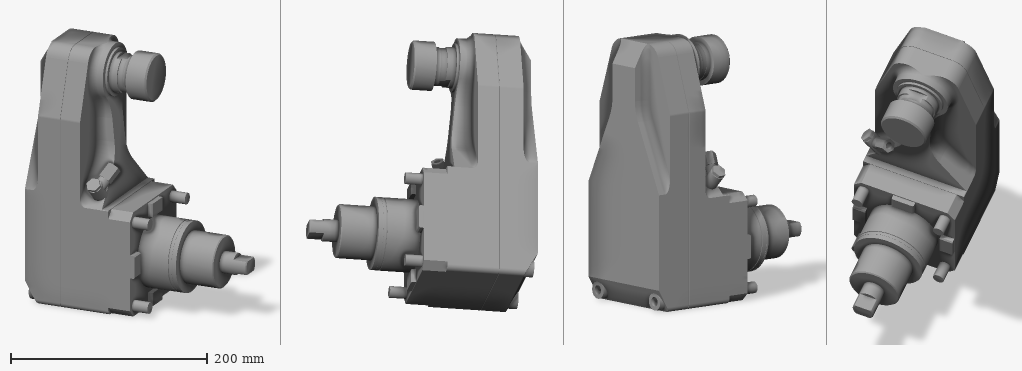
import cadquery as cq
import math


HEIGHT = 273.5
HALF_WIDTH = 55.8
SHOULDER_Z = 203.8
TOP_HALF_WIDTH = 32.5
TOP_RADIUS = 17.8
SHOULDER_RADIUS = 5.5
BOTTOM_RADIUS = 5.2
COVER_CHAMFER_X = 14.0
COVER_CHAMFER_Z = 24.0
SEAM_X = 40.0
SEAM_WIDTH = 0.8
SEAM_DEPTH = 0.5

LAND_HALF_WIDTH = 17.8
LAND_BEND_Z = 215.0
LAND_BEND_RADIUS = 49.2
LAND_FLARE_ANGLE = 25.1
RECESS_DEPTH = 14.8
RECESS_FILLET = 6.3

SPINDLE_Z = 243.1
BOSS_RADIUS = HEIGHT - SPINDLE_Z
BOSS_FACE_X = 75.8
NECK_WALL_X = 62.0
NECK_FILLET = 5.7
NECK_HALF_WIDTH = 12.5
NECK_RADIUS = 39.0
NECK_FLARE_Z = 171.8
FLARE_ANGLE = 45.0
BOSS_FACE_BOTTOM_Z = 221.5
SHELF_X = 86.5
SHELF_Z = 113.0

FLANGE_X = 93.8
FLANGE_END_X = 118.2
FLANGE_HEIGHT = 112.5
FLANGE_CHAMFER = 8.2

SHAFT_Z = 55.8
PILOT_RADIUS = 37.5
PILOT_END_X = 161.5
SEAL_GROOVES = [(152.3, 153.5, 0.8), (156.2, 159.5, 0.3)]
SLEEVE_RADIUS = 27.5
SLEEVE_END_X = 198.3
TANG_RADIUS = 11.5
TANG_FLAT_X = 213.0
TANG_HALF_THICKNESS = 7.0
SHAFT_END_X = 228.0
SHAFT_CHAMFER = 1.0

KEY_WIDTH = 24.5
KEY_HEIGHT = 5.2
KEY_INNER_RADIUS = 41.0
KEY_REACH = 55.2
KEY_CHAMFER = 1.5

BOLT_OFFSET = 44.9
BOLT_RADIUS = 6.0
BOLT_END_X = 135.7
BOLT_HEAD_RADIUS = 9.0
BOLT_HEAD_X = 3.3
SOCKET_RADIUS = 5.0
SOCKET_DEPTH = 5.5

SPINDLE_CHAMFER = 1.6
SPINDLE_STEPS = [(78.2, 25.2), (87.2, 21.0), (93.8, 19.5), (99.0, 20.0), (121.7, 25.2)]
WRENCH_START_X = 82.0
WRENCH_END_X = 92.7
WRENCH_HALF_WIDTH = 18.0

ELBOW_X = 78.2
ELBOW_TOP_Y = -58.5
ELBOW_TOP_Z = 140.0
ELBOW_RADIUS = 7.7
ELBOW_LENGTH = 24.5
ELBOW_CAP_HEIGHT = 3.5
BRANCH_DROP = 12.5
BRANCH_TILT = 20.0
BRANCH_LENGTH = 30.4
BRANCH_NECK_LENGTH = 13.7
BRANCH_NECK_RADIUS = 6.3
BRANCH_HEX_RADIUS = 7.5
BRANCH_BORE_RADIUS = 3.5
BRANCH_BORE_DEPTH = 11.0

CLEAR = 82.0


def cylinder_x(radius, start_x, end_x, y, z):
    """Solid cylinder along X."""
    return cq.Workplane("YZ", origin=(start_x, y, z)).circle(radius).extrude(end_x - start_x)


def block(x_range, y_range, z_range):
    """Solid box between the given limits."""
    low, high = zip(x_range, y_range, z_range)
    size = [b - a for a, b in zip(low, high)]
    return cq.Workplane("XY", origin=low).box(*size, centered=False)


def flats(start_x, end_x, axis_z, half_thickness, reach):
    """Cutter for a pair of flats above and below an axis along X."""
    slab = block((start_x, end_x), (-reach, reach), (axis_z - reach, axis_z + reach))
    kept = block((start_x, end_x), (-reach, reach), (axis_z - half_thickness, axis_z + half_thickness))
    return slab.cut(kept)


def on_both_sides(solid):
    """The solid together with its mirror image across Y = 0."""
    return solid.union(solid.mirror("XZ"))


def housing_outline(start_x, end_x):
    """Tapered, rounded outline of the housing, extruded along X."""
    half = [(HALF_WIDTH, 0), (HALF_WIDTH, SHOULDER_Z), (TOP_HALF_WIDTH, HEIGHT)]
    mirrored = [(-y, z) for y, z in reversed(half)]
    solid = cq.Workplane("YZ", origin=(start_x, 0, 0)).polyline(half + mirrored).close()
    solid = solid.extrude(end_x - start_x)
    solid = solid.edges("|X and >Z").fillet(TOP_RADIUS)
    solid = solid.edges("|X and (>Y or <Y) and (not <Z)").fillet(SHOULDER_RADIUS)
    return solid.edges("|X and <Z").fillet(BOTTOM_RADIUS)


def housing():
    """Housing block trimmed to its side profile, with the seam between its halves."""
    profile = [
        (COVER_CHAMFER_X, 0),
        (FLANGE_X, 0),
        (FLANGE_X, SHELF_Z),
        (SHELF_X, SHELF_Z),
        (BOSS_FACE_X, BOSS_FACE_BOTTOM_Z),
        (BOSS_FACE_X, HEIGHT),
        (COVER_CHAMFER_X, HEIGHT),
        (0, HEIGHT - COVER_CHAMFER_Z),
        (0, COVER_CHAMFER_Z),
    ]
    trim = cq.Workplane("XZ").polyline(profile).close().extrude(HALF_WIDTH, both=True)
    body = housing_outline(0, FLANGE_X).intersect(trim)
    seam_start = SEAM_X - SEAM_WIDTH / 2
    seam_end = SEAM_X + SEAM_WIDTH / 2
    core = housing_outline(seam_start, seam_end).faces("<X").wires().toPending().offset2D(-SEAM_DEPTH)
    core = core.extrude(SEAM_WIDTH, combine=False)
    return body.cut(housing_outline(seam_start, seam_end).cut(core))


def cover_recesses():
    """Recesses that leave the flared land standing on the front cover."""
    angle = math.radians(LAND_FLARE_ANGLE)

    def bend(a):
        return (
            LAND_HALF_WIDTH + LAND_BEND_RADIUS * (1 - math.cos(a)),
            LAND_BEND_Z - LAND_BEND_RADIUS * math.sin(a),
        )

    bend_end_y, bend_end_z = bend(angle)
    flare_z = bend_end_z - (CLEAR - bend_end_y) / math.tan(angle)
    tool = (
        cq.Workplane("YZ", origin=(-CLEAR, 0, 0))
        .moveTo(LAND_HALF_WIDTH, HEIGHT + CLEAR)
        .lineTo(LAND_HALF_WIDTH, LAND_BEND_Z)
        .threePointArc(bend(angle / 2), (bend_end_y, bend_end_z))
        .lineTo(CLEAR, flare_z)
        .lineTo(CLEAR, HEIGHT + CLEAR)
        .close()
        .extrude(CLEAR + RECESS_DEPTH)
    )
    tool = tool.faces(">X").edges("not (>Y or >Z)").fillet(RECESS_FILLET)
    return on_both_sides(tool)


def neck_recesses():
    """Recesses that leave the round spindle boss, its neck and the flared foot."""
    blend_centre_y = NECK_HALF_WIDTH + NECK_RADIUS
    blend_angle = math.acos(blend_centre_y / (BOSS_RADIUS + NECK_RADIUS))
    blend_centre_z = SPINDLE_Z - (BOSS_RADIUS + NECK_RADIUS) * math.sin(blend_angle)
    flare = math.radians(FLARE_ANGLE)

    def boss(a):
        return BOSS_RADIUS * math.cos(a), SPINDLE_Z + BOSS_RADIUS * math.sin(a)

    def blend(a):
        return blend_centre_y - NECK_RADIUS * math.cos(a), blend_centre_z + NECK_RADIUS * math.sin(a)

    def foot(a):
        return blend_centre_y - NECK_RADIUS * math.cos(a), NECK_FLARE_Z - NECK_RADIUS * math.sin(a)

    foot_y, foot_z = foot(flare)
    tool = (
        cq.Workplane("YZ", origin=(NECK_WALL_X, 0, 0))
        .moveTo(0, HEIGHT)
        .threePointArc(boss(0), boss(-blend_angle))
        .threePointArc(blend(blend_angle / 2), blend(0))
        .lineTo(NECK_HALF_WIDTH, NECK_FLARE_Z)
        .threePointArc(foot(flare / 2), (foot_y, foot_z))
        .lineTo(CLEAR, foot_z - (CLEAR - foot_y) / math.tan(flare))
        .lineTo(CLEAR, HEIGHT + CLEAR)
        .lineTo(0, HEIGHT + CLEAR)
        .close()
        .extrude(FLANGE_X - NECK_WALL_X)
    )
    tool = tool.faces("<X").edges("not (<Y or >Y or >Z)").fillet(NECK_FILLET)
    return on_both_sides(tool)


def flange():
    """Mounting flange with bevelled corners."""
    plate = block((FLANGE_X, FLANGE_END_X), (-HALF_WIDTH, HALF_WIDTH), (0, FLANGE_HEIGHT))
    return plate.edges("|X").chamfer(FLANGE_CHAMFER)


def drive_shaft():
    """Pilot, sleeve and flatted driving tang on the lower axis."""
    pilot = cylinder_x(PILOT_RADIUS, FLANGE_END_X, PILOT_END_X, 0, SHAFT_Z)
    for start_x, end_x, depth in SEAL_GROOVES:
        core = cylinder_x(PILOT_RADIUS - depth, start_x, end_x, 0, SHAFT_Z)
        pilot = pilot.cut(cylinder_x(PILOT_RADIUS, start_x, end_x, 0, SHAFT_Z).cut(core))
    sleeve = cylinder_x(SLEEVE_RADIUS, PILOT_END_X, SLEEVE_END_X, 0, SHAFT_Z)
    sleeve = sleeve.faces(">X").chamfer(SHAFT_CHAMFER)
    tang = cylinder_x(TANG_RADIUS, SLEEVE_END_X, SHAFT_END_X, 0, SHAFT_Z)
    tang = tang.faces(">X").chamfer(SHAFT_CHAMFER)
    tang = tang.cut(flats(TANG_FLAT_X, SHAFT_END_X, SHAFT_Z, TANG_HALF_THICKNESS, TANG_RADIUS))
    return pilot.union(sleeve).union(tang)


def keys():
    """Four radial locating keys on the flange face, spaced evenly around the pilot."""
    key = block(
        (FLANGE_END_X, FLANGE_END_X + KEY_HEIGHT),
        (KEY_INNER_RADIUS, KEY_REACH),
        (-KEY_WIDTH / 2, KEY_WIDTH / 2),
    )
    key = key.faces(">X").edges("|Y").chamfer(KEY_CHAMFER)
    ring = cq.Workplane()
    for angle in range(0, 360, 90):
        ring = ring.union(key.rotate((0, 0, 0), (1, 0, 0), angle))
    return ring.translate((0, 0, SHAFT_Z))


def bolts():
    """Four bolt shanks beyond the flange, the lower two with socket heads on the cover bevel."""
    group = cq.Workplane()
    head_z = SHAFT_Z - BOLT_OFFSET
    for y in (-BOLT_OFFSET, BOLT_OFFSET):
        for z in (head_z, SHAFT_Z + BOLT_OFFSET):
            group = group.union(cylinder_x(BOLT_RADIUS, FLANGE_X, BOLT_END_X, y, z))
        head = cylinder_x(BOLT_HEAD_RADIUS, BOLT_HEAD_X, COVER_CHAMFER_X, y, head_z)
        socket = cylinder_x(SOCKET_RADIUS, BOLT_HEAD_X, BOLT_HEAD_X + SOCKET_DEPTH, y, head_z)
        group = group.union(head.cut(socket))
    return group


def bolt_head_recesses():
    """Shallow clearance in front of the two bolt heads."""
    recesses = cq.Workplane()
    for y in (-BOLT_OFFSET, BOLT_OFFSET):
        recesses = recesses.union(cylinder_x(BOLT_HEAD_RADIUS, 0, BOLT_HEAD_X, y, SHAFT_Z - BOLT_OFFSET))
    return recesses


def tool_spindle():
    """Stepped tool spindle with two wrench flats on its neck."""
    spindle = cq.Workplane()
    start_x = BOSS_FACE_X
    for end_x, radius in SPINDLE_STEPS:
        spindle = spindle.union(cylinder_x(radius, start_x, end_x, 0, SPINDLE_Z))
        start_x = end_x
    spindle = spindle.faces(">X").chamfer(SPINDLE_CHAMFER)
    return spindle.cut(flats(WRENCH_START_X, WRENCH_END_X, SPINDLE_Z, WRENCH_HALF_WIDTH, BOSS_RADIUS))


def coolant_elbow():
    """Round post with a hexagonal cap and a tilted hexagonal branch."""
    rise = math.sqrt(0.5)
    tilt = math.radians(BRANCH_TILT)
    post_axis = cq.Vector(0, -rise, rise)
    branch_axis = cq.Vector(math.sin(tilt), rise * math.cos(tilt), rise * math.cos(tilt))
    top = cq.Vector(ELBOW_X, ELBOW_TOP_Y, ELBOW_TOP_Z)

    def plane(origin, normal, corner=cq.Vector(1, 0, 0)):
        return cq.Workplane(cq.Plane(origin=origin, xDir=corner, normal=normal))

    cap = plane(top, post_axis).polygon(6, 2 * ELBOW_RADIUS).extrude(-ELBOW_CAP_HEIGHT)
    post = plane(top - post_axis * ELBOW_CAP_HEIGHT, post_axis).circle(ELBOW_RADIUS)
    post = post.extrude(ELBOW_CAP_HEIGHT - ELBOW_LENGTH)
    joint = top - post_axis * BRANCH_DROP
    neck = plane(joint, branch_axis).circle(BRANCH_NECK_RADIUS).extrude(BRANCH_LENGTH)
    nut = plane(joint + branch_axis * BRANCH_NECK_LENGTH, branch_axis, post_axis)
    nut = nut.polygon(6, 2 * BRANCH_HEX_RADIUS).extrude(BRANCH_LENGTH - BRANCH_NECK_LENGTH)
    bore = plane(joint + branch_axis * BRANCH_LENGTH, branch_axis).circle(BRANCH_BORE_RADIUS)
    bore = bore.extrude(-BRANCH_BORE_DEPTH)
    return cap.union(post).union(neck).union(nut).cut(bore)


body = housing().cut(cover_recesses()).cut(neck_recesses())
for feature in (flange(), drive_shaft(), keys(), bolts(), tool_spindle(), coolant_elbow()):
    body = body.union(feature)
result = body.cut(bolt_head_recesses())